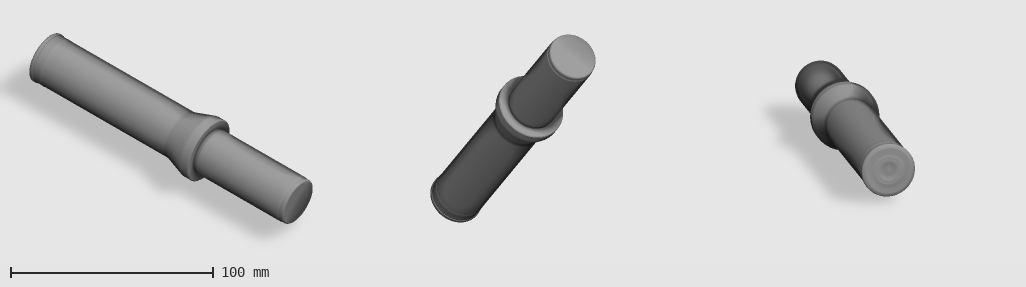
import cadquery as cq
import math


total_length = 159.0
shank_length = 56.0
head_length = 2.9
flare_start = 86.0
flare_end = 98.0
collar_back = total_length - shank_length

head_radius = 27.0 / 2
body_radius = 26.0 / 2
collar_radius = 34.0 / 2
shank_radius = 25.0 / 2
relief_radius = 24.5 / 2

nose_start_radius = 12.7
nose_start_x = 0.45
nose_end_x = 1.6
back_chamfer_length = 0.4
back_chamfer_height = 0.05

rim_outer_radius = 11.7
rim_inner_radius = 11.3
rim_depth = 0.1
dish_outer_radius = 9.4
dish_inner_radius = 8.4
dish_depth = 0.2
ridge_outer_radius = 6.9
ridge_inner_radius = 6.5
ridge_land_depth = 0.03
dimple_outer_radius = 5.4
dimple_wall_radius = 4.95
dimple_lip_depth = 0.05
dimple_step_radius = 3.1
dimple_step_depth = 0.5
dimple_floor_radius = 2.15
dimple_floor_depth = 0.6
center_point_radius = 0.5
center_point_height = 0.05

swell_height = 0.13
first_swell_end = 4.4
second_swell_start = 5.4
second_swell_top_start = 7.3
second_swell_top_end = 7.8
second_swell_end = 8.75

flare_start_blend = 6.0
flare_end_blend = 3.0
collar_back_chamfer = 0.4

front_relief_length = 1.2
front_relief_taper = 0.95
tail_relief_length = 2.65
tail_relief_taper = 0.7
tail_round = 1.0


def revolve_about_x(outline):
    """Close an (X, radius) outline and turn it around the X axis."""
    return outline.close().revolve(360, (0, 0, 0), (1, 0, 0))


def make_head():
    nose_length = nose_end_x - nose_start_x
    nose_height = head_radius - nose_start_radius
    nose_round = (nose_length**2 + nose_height**2) / (2 * nose_height)
    return revolve_about_x(
        cq.Workplane("XY")
        .moveTo(dimple_floor_depth - center_point_height, 0)
        .lineTo(dimple_floor_depth, center_point_radius)
        .lineTo(dimple_floor_depth, dimple_floor_radius)
        .lineTo(dimple_step_depth, dimple_step_radius)
        .lineTo(dimple_lip_depth, dimple_wall_radius)
        .lineTo(ridge_land_depth, dimple_outer_radius)
        .lineTo(ridge_land_depth, ridge_inner_radius)
        .lineTo(0, ridge_outer_radius)
        .lineTo(dish_depth, dish_inner_radius)
        .lineTo(dish_depth, dish_outer_radius)
        .lineTo(rim_depth, rim_inner_radius)
        .lineTo(rim_depth, rim_outer_radius)
        .lineTo(nose_start_x, nose_start_radius)
        .radiusArc((nose_end_x, head_radius), nose_round)
        .lineTo(head_length - back_chamfer_length, head_radius)
        .lineTo(head_length, head_radius - back_chamfer_height)
        .lineTo(head_length, 0)
    )


def make_body():
    swell_radius = body_radius + swell_height
    flare_angle = math.atan2(collar_radius - body_radius, flare_end - flare_start)
    start_setback = flare_start_blend * math.tan(flare_angle / 2)
    end_setback = flare_end_blend * math.tan(flare_angle / 2)

    def on_flare(distance):
        """Point on the flare cone at this slant distance from its small end."""
        return (
            flare_start + distance * math.cos(flare_angle),
            body_radius + distance * math.sin(flare_angle),
        )

    flare_slant = math.hypot(flare_end - flare_start, collar_radius - body_radius)
    front_relief_end = collar_back + front_relief_length
    tail_relief_start = total_length - tail_relief_length
    return revolve_about_x(
        cq.Workplane("XY")
        .moveTo(head_length, 0)
        .lineTo(head_length, swell_radius)
        .lineTo(first_swell_end, body_radius)
        .lineTo(second_swell_start, body_radius)
        .lineTo(second_swell_top_start, swell_radius)
        .lineTo(second_swell_top_end, swell_radius)
        .lineTo(second_swell_end, body_radius)
        .lineTo(flare_start - start_setback, body_radius)
        .radiusArc(on_flare(start_setback), -flare_start_blend)
        .lineTo(*on_flare(flare_slant - end_setback))
        .radiusArc((flare_end + end_setback, collar_radius), flare_end_blend)
        .lineTo(collar_back - collar_back_chamfer, collar_radius)
        .lineTo(collar_back, collar_radius - collar_back_chamfer)
        .lineTo(collar_back, relief_radius)
        .lineTo(front_relief_end, relief_radius)
        .lineTo(front_relief_end + front_relief_taper, shank_radius)
        .lineTo(tail_relief_start - tail_relief_taper, shank_radius)
        .lineTo(tail_relief_start, relief_radius)
        .lineTo(total_length - tail_round, relief_radius)
        .radiusArc((total_length, relief_radius - tail_round), tail_round)
        .lineTo(total_length, 0)
    )


head = make_head()
body = make_body()
result = cq.Compound.makeCompound([head.val(), body.val()])